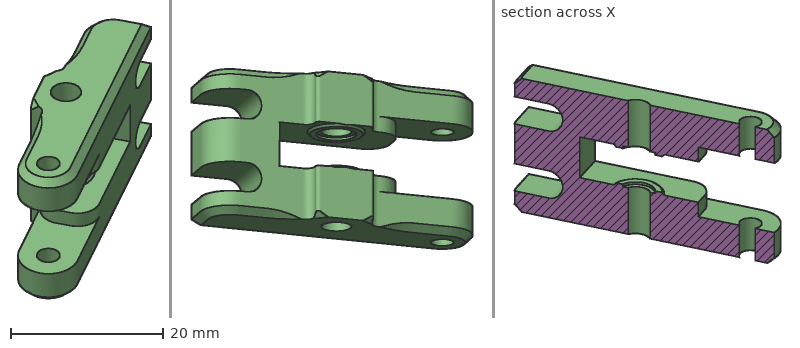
import cadquery as cq
import math

WIDTH = 10.0
LENGTH = 37.5
HEIGHT = 20.0
MID_Z = HEIGHT / 2
SIDE_X = 2.0
END_RADIUS = (WIDTH - SIDE_X) / 2
END_X = SIDE_X + END_RADIUS
RIM_CHAMFER = 1.0

PIVOT_X = 3.75
PIVOT_Y = 19.5
PIVOT_DIAMETER = 4.0
BOSS_HALF_LENGTH = 4.0
BOSS_CORNER_RADIUS = 0.5
BOSS_ROOT_RADIUS = 1.2
RING_HEIGHT = 0.35
RING_INNER_DIAMETER = 5.3
RING_TIP_DIAMETER = 7.0
RING_BASE_DIAMETER = 7.65

SWEEP_START = 10.2
SWEEP_RADIUS = 10.5
SWEEP_END_X = -2.0

FORK_GAP = 6.0
FORK_ROOT_Y = 28.0
TIP_GAP = 10.3
STEP_END_Y = 11.0
STEP_RADIUS = 3.0

TIP_HOLE_DIAMETER = 3.0
SLOT_WIDTH = 4.0
SLOT_DEPTH = 7.0
SLOT_OFFSET = 5.0

CUT_MARGIN = 1.0


def rounded_end_outline(draw_side):
    """Close the arm outline around the -X side, which draw_side adds in the +Y direction."""
    outline = (
        cq.Workplane("XY")
        .moveTo(WIDTH, LENGTH)
        .lineTo(WIDTH, END_RADIUS)
        .threePointArc((END_X, 0), (SIDE_X, END_RADIUS))
    )
    outline = draw_side(outline)
    corner_mid = END_RADIUS * math.sqrt(0.5)
    corner_y = LENGTH - END_RADIUS
    return (
        outline.lineTo(SIDE_X, corner_y)
        .threePointArc((END_X - corner_mid, corner_y + corner_mid), (END_X, LENGTH))
        .close()
    )


def boss_side(outline):
    """-X side with the pivot boss."""
    return (
        outline.lineTo(SIDE_X, PIVOT_Y - BOSS_HALF_LENGTH)
        .lineTo(0, PIVOT_Y - BOSS_HALF_LENGTH)
        .lineTo(0, PIVOT_Y + BOSS_HALF_LENGTH)
        .lineTo(SIDE_X, PIVOT_Y + BOSS_HALF_LENGTH)
    )


def swept_side(outline):
    """-X side that curves out past the boss on two concave arcs."""
    centre_x = SIDE_X - SWEEP_RADIUS
    half_angle = math.acos((SWEEP_END_X - centre_x) / SWEEP_RADIUS) / 2
    mid_x = centre_x + SWEEP_RADIUS * math.cos(half_angle)
    mid_offset = SWEEP_START - SWEEP_RADIUS * math.sin(half_angle)
    end_offset = SWEEP_START - SWEEP_RADIUS * math.sin(2 * half_angle)
    return (
        outline.lineTo(SIDE_X, PIVOT_Y - SWEEP_START)
        .threePointArc((mid_x, PIVOT_Y - mid_offset), (SWEEP_END_X, PIVOT_Y - end_offset))
        .lineTo(SWEEP_END_X, PIVOT_Y + end_offset)
        .threePointArc((mid_x, PIVOT_Y + mid_offset), (SIDE_X, PIVOT_Y + SWEEP_START))
    )


def vertical_edges_at(body, x):
    """Vertical edges at the two ends of the boss, at the given X."""
    tolerance = 0.1
    return body.edges("|Z").edges(
        cq.selectors.BoxSelector(
            (x - tolerance, PIVOT_Y - BOSS_HALF_LENGTH - tolerance, -CUT_MARGIN),
            (x + tolerance, PIVOT_Y + BOSS_HALF_LENGTH + tolerance, HEIGHT + CUT_MARGIN),
        )
    )


def make_blank():
    """Full-height body with the boss and the bevelled outer rims."""
    body = rounded_end_outline(boss_side).extrude(HEIGHT)
    body = vertical_edges_at(body, SIDE_X).fillet(BOSS_ROOT_RADIUS)
    body = vertical_edges_at(body, 0).fillet(BOSS_CORNER_RADIUS)
    envelope = rounded_end_outline(swept_side).extrude(HEIGHT)
    envelope = envelope.faces("<Z or >Z").chamfer(RIM_CHAMFER)
    return body.intersect(envelope)


def gap_block(gap, end_y):
    """Full-width block centred on mid height, from beyond the arm tips to Y = end_y."""
    return cq.Workplane("XY").box(
        WIDTH + 2 * CUT_MARGIN, end_y + CUT_MARGIN, gap, centered=(True, False, True)
    ).translate((WIDTH / 2, -CUT_MARGIN, MID_Z))


def make_tip_gap():
    """Wide gap at the arm tips, leaving a rounded step on each arm."""
    step_base_y = STEP_END_Y + STEP_RADIUS
    step_length = FORK_ROOT_Y - STEP_END_Y
    step = (
        cq.Workplane("XY")
        .box(WIDTH - SIDE_X, step_length, TIP_GAP, centered=(True, False, True))
        .edges("|Z and <Y")
        .fillet(STEP_RADIUS)
        .translate((END_X, STEP_END_Y, MID_Z))
    )
    return gap_block(TIP_GAP, step_base_y).cut(step)


def make_thrust_ring():
    """Tapered ring on the inner face of the lower arm, trimmed flush with the boss face."""
    base_z = MID_Z - FORK_GAP / 2
    ring = (
        cq.Workplane("XY")
        .circle(RING_BASE_DIAMETER / 2)
        .workplane(offset=RING_HEIGHT)
        .circle(RING_TIP_DIAMETER / 2)
        .loft()
        .cut(cq.Workplane("XY").circle(RING_INNER_DIAMETER / 2).extrude(RING_HEIGHT))
        .translate((PIVOT_X, PIVOT_Y, base_z))
    )
    inside_boss = cq.Workplane("XY").box(WIDTH, LENGTH, HEIGHT, centered=False)
    return ring.intersect(inside_boss)


def make_hole(x, y, diameter):
    """Vertical through hole."""
    return cq.Workplane("XY").center(x, y).circle(diameter / 2).extrude(HEIGHT)


def make_slot(z):
    """Round-bottomed slot along X, open at the web end."""
    radius = SLOT_WIDTH / 2
    root_y = LENGTH - SLOT_DEPTH + radius
    return (
        cq.Workplane("YZ")
        .moveTo(LENGTH + CUT_MARGIN, z - radius)
        .lineTo(root_y, z - radius)
        .threePointArc((root_y - radius, z), (root_y, z + radius))
        .lineTo(LENGTH + CUT_MARGIN, z + radius)
        .close()
        .extrude(WIDTH)
    )


result = make_blank()
result = result.cut(gap_block(FORK_GAP, FORK_ROOT_Y))
result = result.cut(make_tip_gap())

lower_ring = make_thrust_ring()
upper_ring = lower_ring.mirror("XY", (0, 0, MID_Z))
result = result.union(lower_ring).union(upper_ring)

result = result.cut(make_hole(PIVOT_X, PIVOT_Y, PIVOT_DIAMETER))
result = result.cut(make_hole(END_X, END_RADIUS, TIP_HOLE_DIAMETER))

for slot_offset in (-SLOT_OFFSET, SLOT_OFFSET):
    result = result.cut(make_slot(MID_Z + slot_offset))